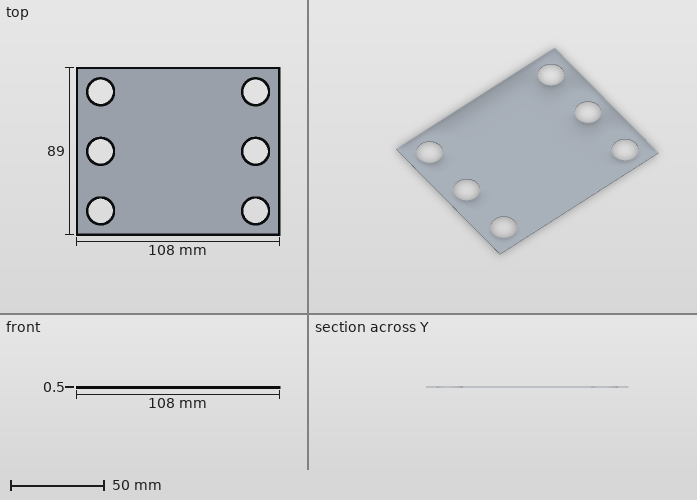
import cadquery as cq

length = 108.0
width = 89.0
thickness = 0.5

hole_diameter = 14.2
column_spacing = 82.6
row_spacing = 31.7
column_count = 2
row_count = 3

plate = cq.Workplane("XY").box(length, width, thickness)

result = (
    plate.faces(">Z")
    .workplane()
    .rarray(column_spacing, row_spacing, column_count, row_count)
    .hole(hole_diameter)
)